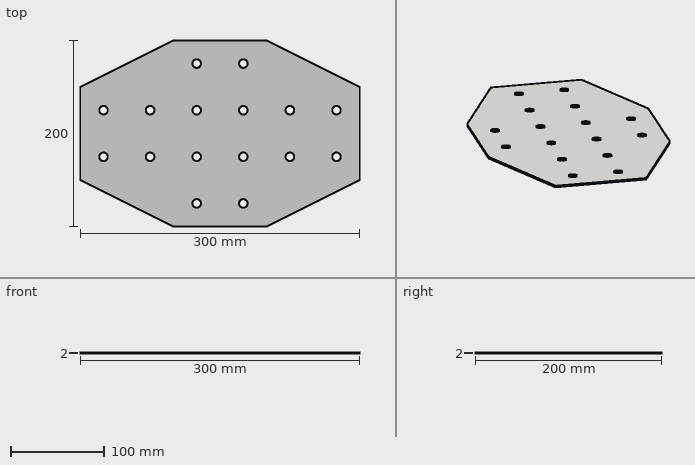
import cadquery as cq

length = 300.0
thickness = 2.0
hole_diameter = 9.0
columns = 6
rows = 4

pitch = length / columns
width = rows * pitch

half_length = length / 2
half_width = width / 2
flat_half_length = half_length - 2 * pitch
flat_half_width = half_width - pitch


def make_plate():
    """Flat eight-sided plate resting on Z = 0."""
    outline = [
        (half_length, -flat_half_width),
        (half_length, flat_half_width),
        (flat_half_length, half_width),
        (-flat_half_length, half_width),
        (-half_length, flat_half_width),
        (-half_length, -flat_half_width),
        (-flat_half_length, -half_width),
        (flat_half_length, -half_width),
    ]
    return cq.Workplane("XY").polyline(outline).close().extrude(thickness)


def drill_grid(plate, column_count, row_count, centre_y):
    """Drill a grid of through holes centred at X = 0 and the given Y."""
    return (
        plate.faces(">Z")
        .workplane(origin=(0, centre_y, thickness))
        .rarray(pitch, pitch, column_count, row_count)
        .hole(hole_diameter)
    )


outer_row_y = half_width - pitch / 2
result = drill_grid(make_plate(), columns, 2, 0)
for row_y in (-outer_row_y, outer_row_y):
    result = drill_grid(result, 2, 1, row_y)